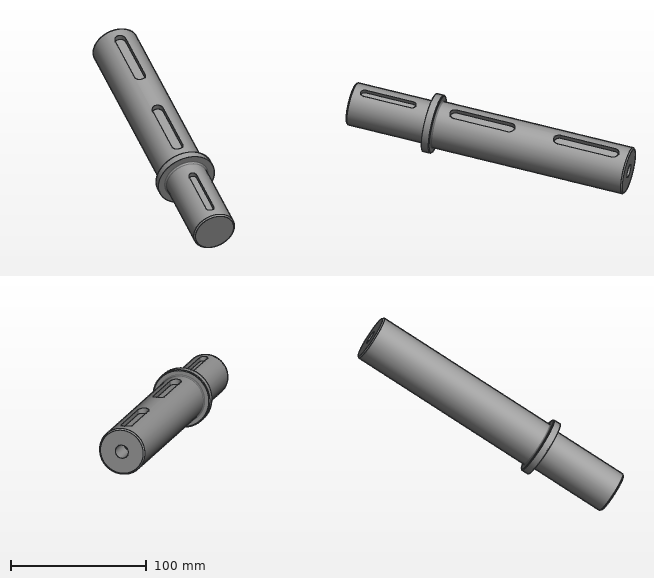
import cadquery as cq
import math

length = 214.0
main_radius = 17.5
tail_radius = 16.0
collar_radius = 22.0
collar_start = 147.6
collar_width = 6.0
collar_end = collar_start + collar_width

left_chamfer = 1.0
right_chamfer = 1.0
collar_chamfer = 0.6
main_root_fillet = 0.6
tail_root_fillet = 1.0

hole_diameter = 10.0
hole_depth = 21.5
drill_point_angle = 118.0

main_key_starts = (8.0, 88.1)
main_key_length = 50.0
main_key_width = 8.3
main_key_depth = 4.0
tail_key_start = 164.5
tail_key_length = 42.5
tail_key_width = 6.0
tail_key_depth = 3.5


def turned_body():
    """Revolve the stepped half-profile, including chamfers and root fillets."""
    arc_offset = 1 - math.sqrt(0.5)
    main_arc_middle = (
        collar_start - main_root_fillet * arc_offset,
        main_radius + main_root_fillet * arc_offset,
    )
    tail_arc_middle = (
        collar_end + tail_root_fillet * arc_offset,
        tail_radius + tail_root_fillet * arc_offset,
    )
    profile = (
        cq.Workplane("XY")
        .lineTo(0, main_radius - left_chamfer)
        .lineTo(left_chamfer, main_radius)
        .lineTo(collar_start - main_root_fillet, main_radius)
        .threePointArc(main_arc_middle, (collar_start, main_radius + main_root_fillet))
        .lineTo(collar_start, collar_radius - collar_chamfer)
        .lineTo(collar_start + collar_chamfer, collar_radius)
        .lineTo(collar_end, collar_radius)
        .lineTo(collar_end, tail_radius + tail_root_fillet)
        .threePointArc(tail_arc_middle, (collar_end + tail_root_fillet, tail_radius))
        .lineTo(length - right_chamfer, tail_radius)
        .lineTo(length, tail_radius - right_chamfer)
        .lineTo(length, 0)
        .close()
    )
    return profile.revolve(360, (0, 0, 0), (1, 0, 0))


def drilled_hole():
    """Blind axial hole with a conical bottom, entering from the left end face."""
    radius = hole_diameter / 2
    point_length = radius / math.tan(math.radians(drill_point_angle / 2))
    profile = (
        cq.Workplane("XY")
        .lineTo(0, radius)
        .lineTo(hole_depth, radius)
        .lineTo(hole_depth + point_length, 0)
        .close()
    )
    return profile.revolve(360, (0, 0, 0), (1, 0, 0))


def keyway(start, key_length, width, depth, shaft_radius):
    """Round-ended, flat-bottomed cutter for a keyway in the top of the shaft."""
    return (
        cq.Workplane("XY", origin=(start + key_length / 2, 0, shaft_radius - depth))
        .slot2D(key_length, width)
        .extrude(depth)
    )


result = turned_body().cut(drilled_hole())
for key_start in main_key_starts:
    result = result.cut(
        keyway(key_start, main_key_length, main_key_width, main_key_depth, main_radius)
    )
result = result.cut(
    keyway(tail_key_start, tail_key_length, tail_key_width, tail_key_depth, tail_radius)
)